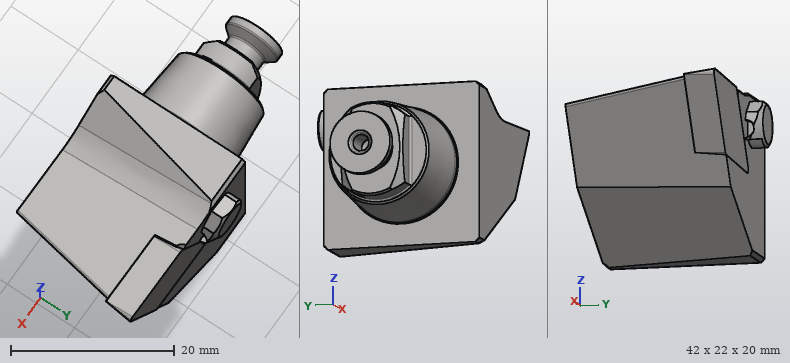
import cadquery as cq
import math

block_width = 20.0
half_width = block_width / 2
block_reach = 26.0
edge_chamfer = 0.5

shank_end = -17.0
head_rim_end = -15.9
head_radius = 3.85
neck_radius = 2.62
neck_start = -14.87
head_blend = 0.3
spanner_start = -12.48
spanner_radius = 5.83
spanner_chamfer = 0.24
neck_blend = 0.15
taper_end = -9.45
taper_small_radius = 6.42
taper_edge_round = 0.27
taper_start = -1.0
taper_large_radius = 7.16
flare_start = -0.15
flare_radius = 7.3
shank_overlap = 1.0

flat_half_width = 4.0
flat_blend = 0.28
corner_cone_radius = 10.6
corner_cone_offset = 6.9

centre_radii = [1.5, 1.27, 1.02]
centre_depths = [0.0, 0.15, 0.4]
bore_depth = 4.0
drill_point_angle = 118.0

insert_angle = 55.0
insert_circle = 9.525
insert_thickness = 3.97
insert_nose = 0.52
clearance_angle = 7.0
clearance_slope = math.tan(math.radians(clearance_angle))
rake_tilt = 2.8
tip_reach = 25.01
flank_tilt = insert_angle + rake_tilt
insert_side = insert_circle / math.sin(math.radians(insert_angle))

trough_entry_angle = 27.0
trough_arc_start = (6.86, 9.93)
trough_radius = 7.04

relief_corner = (16.73, -3.42)
relief_shift = (-2.0, 1.19)
lower_face_angle = 30.0
nose_edge_round = 0.24

seat_corner_radius = 0.32
seat_notch_radius = 0.95

nozzle_centre = (6.3, 6.0)
nozzle_radius = 2.8
nozzle_height = 2.0
nozzle_round_start = -47.0
nozzle_round_end = -230.0
nozzle_beak = [(7.37, 8.8), (9.17, 7.2), (9.94, 5.4), (9.94, 3.6)]
orifice_radius = 1.15
orifice_depth = 1.5
orifice_centre = (10.0, 5.0)
nozzle_crown_radius = 2.42
nozzle_crown_angle = 35.0
nozzle_crown_reach = 4.5

past = 10.0


def polar(origin, angle, length):
    """Point at the given angle (degrees) and distance from an (X, Z) origin."""
    a = math.radians(angle)
    return origin[0] + length * math.cos(a), origin[1] + length * math.sin(a)


def slanted_sweep(profile, shift, depth):
    """Sweep an (X, Z) outline straight toward -Y while it drifts by the (X, Z) shift."""
    direction = cq.Vector(shift[0], -depth, shift[1])
    return cq.Workplane(cq.Solid.extrudeLinear(profile.wires().val(), [], direction))


def side_plane(y):
    """Drawing plane for (X, Z) outlines; extruding moves toward -Y."""
    return cq.Workplane("XZ", origin=(0, y, 0))


def make_insert():
    """Plate whose rounded corners shrink with the clearance toward the seat."""
    plate = (
        cq.Sketch()
        .polygon([insert_tip, insert_rear, insert_far, insert_bottom, insert_tip])
        .vertices()
        .fillet(insert_nose)
    )
    return (
        side_plane(half_width).placeSketch(plate).extrude(insert_thickness, taper=clearance_angle)
    )


def make_shank():
    front = [
        (shank_end, 0),
        (shank_end, head_radius),
        (head_rim_end, head_radius),
        (neck_start, neck_radius),
        (spanner_start - neck_blend, neck_radius),
        (spanner_start, neck_radius + neck_blend),
        (spanner_start, spanner_radius - spanner_chamfer),
        (spanner_start + spanner_chamfer, spanner_radius),
        (taper_end - flat_blend, spanner_radius),
    ]
    blend_end = (taper_end, spanner_radius + flat_blend)
    rear = [
        (taper_end, taper_small_radius - taper_edge_round),
        (taper_end + taper_edge_round, taper_small_radius),
        (taper_start, taper_large_radius),
        (flare_start, taper_large_radius),
        (0, flare_radius),
        (shank_overlap, flare_radius),
        (shank_overlap, 0),
    ]
    shank = (
        cq.Workplane("XY")
        .polyline(front)
        .radiusArc(blend_end, -flat_blend)
        .polyline(rear, includeCurrent=True)
        .close()
        .revolve(360, (0, 0, 0), (1, 0, 0))
    )
    blends = cq.selectors.BoxSelector(
        (head_rim_end - head_blend, -past, -past), (neck_start + head_blend, past, past)
    )
    shank = shank.edges("%CIRCLE").edges(blends).fillet(head_blend)
    for side in (1, -1):
        shank = shank.cut(spanner_flat_cutter(side)).cut(corner_cone_cutter(side))
    return shank.cut(centre_hole_cutter())


def spanner_flat_cutter(side):
    """Material outside one flat, rounded off where the flat meets the taper's end face."""
    length = taper_end - spanner_start + past
    height = 2 * past
    middle = (taper_end - length / 2, flat_half_width + past / 2, 0)
    cutter = cq.Workplane("XY").box(length, past, height).translate(middle)
    cutter = cutter.edges("|Z").edges(">X and <Y").fillet(flat_blend)
    return cutter if side > 0 else cutter.mirror("XZ")


def corner_cone_cutter(side):
    """Material outside a 45 degree cone that bevels the spanner end beside one flat."""
    depth = taper_end - spanner_start
    ring = (
        cq.Workplane("XY")
        .polyline(
            [
                (spanner_start, corner_cone_radius),
                (spanner_start + depth, corner_cone_radius + depth),
                (spanner_start + depth, corner_cone_radius + past),
                (spanner_start, corner_cone_radius + past),
            ]
        )
        .close()
        .revolve(360, (0, 0, 0), (1, 0, 0))
    )
    return ring.translate((0, -side * corner_cone_offset, 0))


def centre_hole_cutter():
    bore_radius = centre_radii[-1]
    point_length = bore_radius / math.tan(math.radians(drill_point_angle / 2))
    steps = [(shank_end + depth, radius) for depth, radius in zip(centre_depths, centre_radii)]
    bore_end = shank_end + bore_depth
    outline = [(shank_end, 0), *steps, (bore_end, bore_radius), (bore_end + point_length, 0)]
    return cq.Workplane("XY").polyline(outline).close().revolve(360, (0, 0, 0), (1, 0, 0))


def relief_prism():
    """Everything behind the slanted flank and the slanted lower face."""
    high = polar(relief_corner, flank_tilt, 2 * block_width)
    low = polar(relief_corner, 180 + lower_face_angle, 2 * block_width)
    outline = [high, relief_corner, low, (-past, low[1]), (-past, high[1])]
    profile = side_plane(half_width).polyline(outline).close()
    return slanted_sweep(profile, relief_shift, block_width)


def chip_trough_cutter():
    """Material above the sloping entry, the concave arc and the rake floor."""
    top_angle = 180 - trough_entry_angle
    entry = polar(trough_arc_start, top_angle, past)
    turn = (trough_entry_angle + rake_tilt) / 2
    middle = polar(trough_arc_centre, 270 - trough_entry_angle + turn, trough_radius)
    end = polar(trough_arc_centre, 270 + rake_tilt, trough_radius)
    floor_end = polar(end, rake_tilt, block_reach)
    high = half_width + past
    profile = (
        side_plane(half_width)
        .moveTo(*entry)
        .lineTo(*trough_arc_start)
        .threePointArc(middle, end)
        .lineTo(*floor_end)
        .lineTo(floor_end[0], high)
        .lineTo(entry[0], high)
        .close()
    )
    shift = polar((0, 0), rake_tilt - 90, block_width * clearance_slope)
    return slanted_sweep(profile, shift, block_width)


def seat_cutter(insert):
    """Insert-shaped seat with a relief around the insert's rear corner."""
    corner_half_angle = (180 - insert_angle) / 2
    inset = insert_thickness * clearance_slope / math.sin(math.radians(corner_half_angle))
    shift = polar((0, 0), rake_tilt - corner_half_angle, inset)
    profile = side_plane(half_width).center(*insert_rear).circle(seat_corner_radius)
    relief = slanted_sweep(profile, shift, insert_thickness)
    notch = cq.Workplane("XY").sphere(seat_notch_radius)
    notch = notch.translate((insert_rear[0], half_width, insert_rear[1]))
    return insert.union(relief).union(notch)


def make_holder(insert):
    block = (
        cq.Workplane("XY")
        .box(block_reach, block_width, block_width)
        .translate((block_reach / 2, 0, 0))
        .edges("|X")
        .chamfer(edge_chamfer)
    )
    wedge = relief_prism().cut(chip_trough_cutter())
    setback = abs(relief_shift[0])
    nose_point = (insert_tip[0] - setback, 0, half_width - setback)
    nose_edge = wedge.edges(cq.selectors.NearestToPointSelector(nose_point))
    block = block.intersect(nose_edge.fillet(nose_edge_round))
    return block.union(make_shank()).cut(seat_cutter(insert))


def make_nozzle():
    round_middle_angle = (nozzle_round_start + nozzle_round_end) / 2
    body = (
        side_plane(half_width + nozzle_height)
        .moveTo(*polar(nozzle_centre, nozzle_round_start, nozzle_radius))
        .threePointArc(
            polar(nozzle_centre, round_middle_angle, nozzle_radius),
            polar(nozzle_centre, nozzle_round_end, nozzle_radius),
        )
        .polyline(nozzle_beak, includeCurrent=True)
        .close()
        .extrude(nozzle_height)
    )
    drop = nozzle_crown_reach * math.tan(math.radians(nozzle_crown_angle))
    crown = (
        cq.Workplane("XY")
        .polyline(
            [
                (0, 0),
                (0, nozzle_height),
                (nozzle_crown_radius, nozzle_height),
                (nozzle_crown_radius + nozzle_crown_reach, nozzle_height - drop),
                (nozzle_crown_radius + nozzle_crown_reach, 0),
            ]
        )
        .close()
        .revolve(360, (0, 0, 0), (0, 1, 0))
        .translate((nozzle_centre[0], half_width, nozzle_centre[1]))
    )
    beak_tip = max(x for x, z in nozzle_beak)
    orifice = (
        cq.Workplane("YZ", origin=(beak_tip - orifice_depth, 0, 0))
        .center(*orifice_centre)
        .circle(orifice_radius)
        .extrude(past)
    )
    return body.intersect(crown).cut(orifice)


nose_centre = (tip_reach - insert_nose, half_width - insert_nose)
nose_to_corner = insert_nose / math.sin(math.radians(insert_angle / 2))
insert_tip = polar(nose_centre, rake_tilt + insert_angle / 2, nose_to_corner)
insert_rear = polar(insert_tip, 180 + rake_tilt, insert_side)
insert_bottom = polar(insert_tip, 180 + flank_tilt, insert_side)
insert_far = polar(insert_rear, 180 + flank_tilt, insert_side)

trough_arc_centre = polar(trough_arc_start, 90 - trough_entry_angle, trough_radius)

insert = make_insert()
holder = make_holder(insert)
nozzle = make_nozzle()

result = cq.Compound.makeCompound([holder.val(), insert.val(), nozzle.val()])